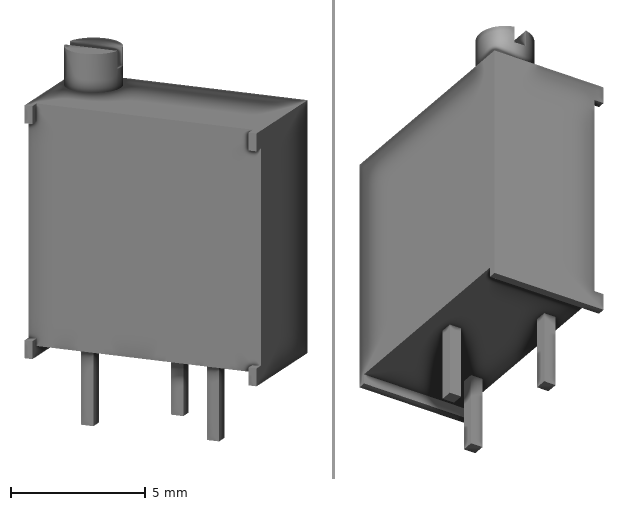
import cadquery as cq

width = 9.4
total_depth = 4.8
total_height = 13.9
standoff = 0.4
body_depth = total_depth - standoff

screw_diameter = 2.2
screw_height = 1.5
screw_from_left = 1.28
screw_from_back = 1.26
slot_width = 0.5
slot_depth = 0.7

rail_width = 0.32
lug_height = 0.7

pin_size = 0.5
pin_pitch = 2.55
pin_length = 2.6
front_pin_y = 0.75

rail_bottom = pin_length
body_bottom = rail_bottom + standoff
body_top = total_height - screw_height


def box(x, y, z, length, depth, height):
    """Box placed by its minimum corner."""
    return cq.Workplane("XY").box(length, depth, height, centered=False).translate((x, y, z))


def make_screw():
    x = -width / 2 + screw_from_left
    y = body_depth - screw_from_back
    screw = cq.Workplane("XY", origin=(x, y, body_top)).circle(screw_diameter / 2).extrude(screw_height)
    slot = box(
        x - screw_diameter / 2, y - slot_width / 2, total_height - slot_depth,
        screw_diameter, slot_width, slot_depth,
    )
    return screw.cut(slot)


def make_pin(x, y):
    return box(x - pin_size / 2, y - pin_size / 2, 0, pin_size, pin_size, body_bottom)


result = box(-width / 2, 0, body_bottom, width, body_depth, body_top - body_bottom)
result = result.union(make_screw())

for side_x in (-width / 2, width / 2 - rail_width):
    result = result.union(box(side_x, 0, rail_bottom, rail_width, body_depth, standoff))
    for lug_z in (rail_bottom, body_top - lug_height):
        result = result.union(box(side_x, -standoff, lug_z, rail_width, standoff, lug_height))

for position in (-1, 0, 1):
    pin_y = front_pin_y if position else front_pin_y + pin_pitch
    result = result.union(make_pin(position * pin_pitch, pin_y))